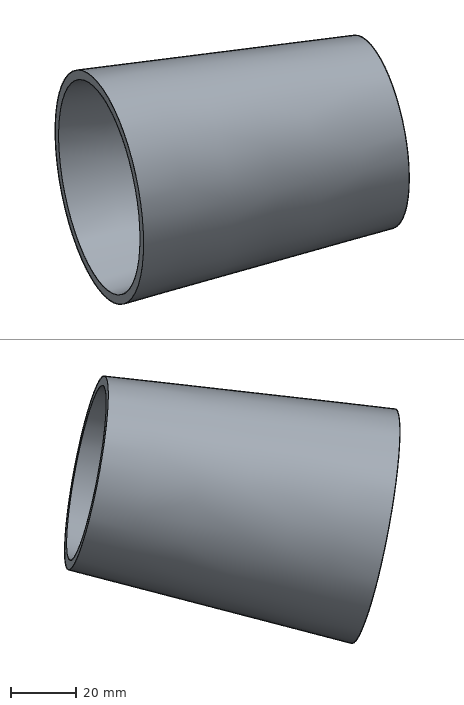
import cadquery as cq

length = 90.0
wide_diameter = 73.0
narrow_diameter = 60.3
wall = 3.0

wide_radius = wide_diameter / 2
narrow_radius = narrow_diameter / 2

wall_section = [
    (wide_radius - wall, 0),
    (wide_radius, 0),
    (narrow_radius, length),
    (narrow_radius - wall, length),
]

result = cq.Workplane("XY").polyline(wall_section).close().revolve(360, (0, 0, 0), (0, 1, 0))